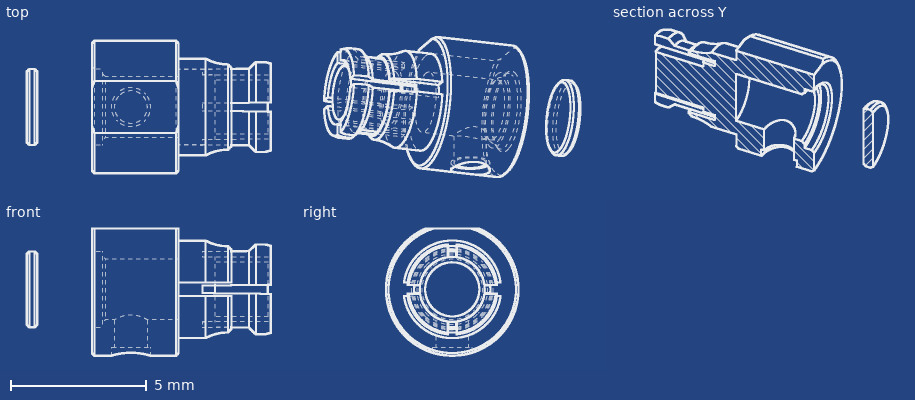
import cadquery as cq
import math


disc_radius = 1.4
disc_thickness = 0.4
edge_chamfer = 0.1

body_start = 2.4
body_length = 3.195
body_end = body_start + body_length
body_radius = 2.45
flat_height = 2.25

recess_radius = disc_radius
recess_depth = disc_thickness
bore_radius = 1.12
bore_chamfer = 0.11
bore_end = body_end

cross_hole_x = 3.84
cross_hole_radius = 0.6
cross_hole_mouth_radius = 0.72
cross_hole_mouth_depth = 0.3

sleeve_radius = 1.8
sleeve_straight_end = body_end + 1.0
neck_radius = 1.59
neck_end = sleeve_straight_end + 0.82
sleeve_end_chamfer = 0.13
sleeve_end = neck_end + sleeve_end_chamfer
sleeve_slot_width = 0.49

finger_root_x = 5.79
finger_root_radius = 1.4
groove_end = 8.19
groove_radius = 1.42
collar_start = 8.44
collar_radius = 1.665
collar_end = 8.8
tip_radius = 1.61
tip_x = 9.0
finger_inner_radius = 1.2

slit_start = 6.48
slit_root_width = 0.28
slit_tip_width = 0.33
slit_count = 4

core_radius = 1.0
core_step_x = 6.95
core_end = 8.89


def rod(start, end, radius):
    """Solid cylinder along X."""
    return cq.Workplane("YZ", origin=(start, 0, 0)).circle(radius).extrude(end - start)


def revolve_profile(profile):
    """Turn a closed profile drawn as (x, radius) around the X axis."""
    return profile.close().revolve(360, (0, 0, 0), (1, 0, 0))


def make_disc():
    return rod(0, disc_thickness, disc_radius).edges().chamfer(edge_chamfer)


def make_body():
    body = rod(body_start, body_end, body_radius).edges().chamfer(edge_chamfer)
    above_flat = cq.Workplane("XY", origin=(body_start, 0, flat_height)).rect(
        2 * body_length, 2 * body_radius).extrude(body_radius)
    return body.cut(above_flat)


def make_bore():
    """Chamfered cap recess followed by a chamfered bore."""
    recess_floor = body_start + recess_depth
    return revolve_profile(
        cq.Workplane("XY")
        .moveTo(body_start, 0)
        .lineTo(body_start, recess_radius + edge_chamfer)
        .lineTo(body_start + edge_chamfer, recess_radius)
        .lineTo(recess_floor, recess_radius)
        .lineTo(recess_floor, bore_radius + bore_chamfer)
        .lineTo(recess_floor + bore_chamfer, bore_radius)
        .lineTo(bore_end, bore_radius)
        .lineTo(bore_end, 0)
    )


def make_cross_hole():
    hole = cq.Workplane("XY", origin=(cross_hole_x, 0, 0)).circle(cross_hole_radius).extrude(-body_radius)
    mouth = cq.Workplane("XY", origin=(cross_hole_x, 0, -body_radius)).circle(
        cross_hole_mouth_radius).extrude(cross_hole_mouth_depth)
    return hole.union(mouth)


def make_sleeve():
    """Ring with a concave neck that runs out parallel to the axis, slotted on both Y sides."""
    run = neck_end - sleeve_straight_end
    drop = sleeve_radius - neck_radius
    neck_arc_radius = (run**2 + drop**2) / (2 * drop)
    half_sweep = math.asin(run / neck_arc_radius) / 2
    arc_mid_x = neck_end - neck_arc_radius * math.sin(half_sweep)
    arc_mid_radius = neck_radius + neck_arc_radius * (1 - math.cos(half_sweep))
    sleeve = revolve_profile(
        cq.Workplane("XY")
        .moveTo(body_end, finger_root_radius)
        .lineTo(body_end, sleeve_radius)
        .lineTo(sleeve_straight_end, sleeve_radius)
        .threePointArc((arc_mid_x, arc_mid_radius), (neck_end, neck_radius))
        .lineTo(sleeve_end, neck_radius - sleeve_end_chamfer)
        .lineTo(sleeve_end, finger_root_radius)
    )
    sleeve_length = sleeve_end - body_end
    slot = cq.Workplane("XY", origin=(body_end + sleeve_length / 2, 0, 0)).box(
        sleeve_length, 2 * body_radius, sleeve_slot_width)
    return sleeve.cut(slot)


def make_fingers():
    """Flared, collared tube with four equally spaced slits."""
    tube = revolve_profile(
        cq.Workplane("XY")
        .moveTo(body_end, finger_inner_radius)
        .lineTo(body_end, finger_root_radius)
        .lineTo(finger_root_x, finger_root_radius)
        .lineTo(groove_end, groove_radius)
        .lineTo(collar_start, collar_radius)
        .lineTo(collar_end, collar_radius)
        .lineTo(tip_x, tip_radius)
        .lineTo(tip_x, finger_inner_radius)
    )
    slit = (
        cq.Workplane("XY")
        .moveTo(slit_start, -slit_root_width / 2)
        .lineTo(tip_x, -slit_tip_width / 2)
        .lineTo(tip_x, slit_tip_width / 2)
        .lineTo(slit_start, slit_root_width / 2)
        .close()
        .extrude(body_radius)
    )
    for index in range(slit_count):
        tube = tube.cut(slit.rotate((0, 0, 0), (1, 0, 0), index * 360 / slit_count))
    return tube


def make_core():
    """Core that fills the tube up to a step, then stands clear of the fingers."""
    return rod(body_end, core_step_x, finger_inner_radius).union(rod(body_end, core_end, core_radius))


def make_housing():
    housing = make_body().cut(make_bore()).cut(make_cross_hole())
    for section in (make_core(), make_fingers(), make_sleeve()):
        housing = housing.union(section)
    return housing


disc = make_disc()
housing = make_housing()
result = cq.Compound.makeCompound([disc.val(), *housing.solids().vals()])